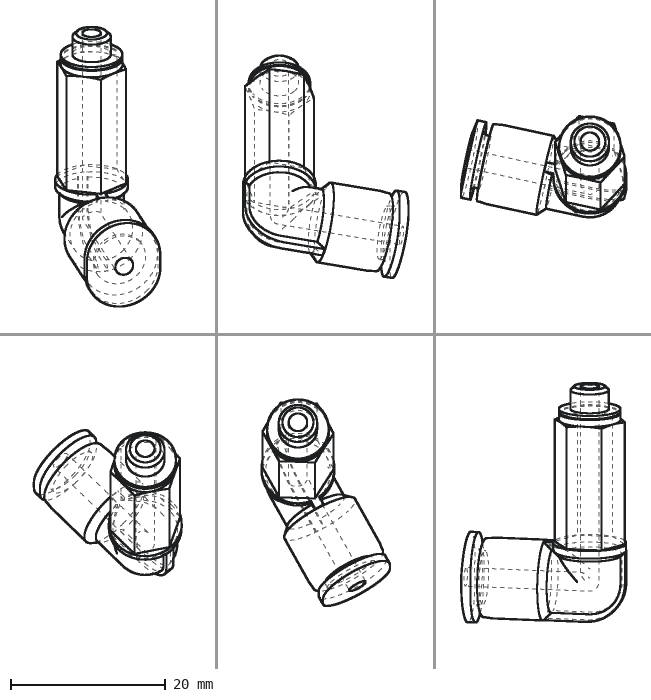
import cadquery as cq
import math


thread_top = 26.0
thread_bottom = 23.0
washer_bottom = 21.55
collar_top = 5.2
collar_bottom = 4.2

thread_diameter = 5.0
thread_chamfer = 0.5
washer_diameter = 8.0
upper_washer_thickness = 0.45
washer_gap = 0.1
washer_gap_diameter = 7.8
hex_across_flats = 8.0
hex_chamfer_angle = 15.0
collar_radius = 4.73

elbow_radius = 4.2
rib_thickness = 1.25
rib_bottom_depth = 5.2
bore_diameter = 2.4

shoulder_start = 4.9
body_end = 12.6
rim_taper_end = 13.45
rim_end = 13.91
button_back = 14.8
button_front = 16.29
body_radius = 10.5 / 2
rim_radius = 10.3 / 2
rim_fillet = 0.25
neck_radius = 7.0 / 2
neck_fillet = 0.4
shoulder_length = body_radius - elbow_radius

button_half_height = 5.9
button_half_width = 4.93
button_flat_radius = 3.45
button_bevel_depth = 0.46


def stem_cylinder(radius, bottom, top):
    """Cylinder on the Z axis."""
    return cq.Workplane("XY").workplane(offset=bottom).circle(radius).extrude(top - bottom)


def make_thread_and_washers():
    thread = stem_cylinder(thread_diameter / 2, washer_bottom, thread_top)
    thread = thread.faces(">Z").chamfer(thread_chamfer)
    washer_radius = washer_diameter / 2
    gap_top = thread_bottom - upper_washer_thickness
    gap_bottom = gap_top - washer_gap
    upper_washer = stem_cylinder(washer_radius, gap_top, thread_bottom)
    spacer = stem_cylinder(washer_gap_diameter / 2, gap_bottom, gap_top)
    lower_washer = stem_cylinder(washer_radius, washer_bottom, gap_bottom)
    return thread.union(upper_washer).union(spacer).union(lower_washer)


def make_hex():
    """Hexagon with corners on the X axis and its top corners bevelled."""
    corner_radius = hex_across_flats / 2 / math.cos(math.radians(30))
    flat_radius = hex_across_flats / 2
    bevel_drop = (corner_radius - flat_radius) * math.tan(math.radians(hex_chamfer_angle))
    prism = (
        cq.Workplane("XY")
        .workplane(offset=collar_top)
        .polygon(6, 2 * corner_radius)
        .extrude(washer_bottom - collar_top)
    )
    envelope = (
        cq.Workplane("XZ")
        .moveTo(0, collar_top)
        .lineTo(corner_radius, collar_top)
        .lineTo(corner_radius, washer_bottom - bevel_drop)
        .lineTo(flat_radius, washer_bottom)
        .lineTo(0, washer_bottom)
        .close()
        .revolve(360, (0, 0, 0), (0, 1, 0))
    )
    return prism.intersect(envelope)


def make_collar_and_elbow():
    """Collar tapering to the vertical leg, with a ball at the bend."""
    taper_bottom = collar_bottom - (collar_radius - elbow_radius)
    leg = (
        cq.Workplane("XZ")
        .moveTo(0, 0)
        .lineTo(elbow_radius, 0)
        .lineTo(elbow_radius, taper_bottom)
        .lineTo(collar_radius, collar_bottom)
        .lineTo(collar_radius, collar_top)
        .lineTo(0, collar_top)
        .close()
        .revolve(360, (0, 0, 0), (0, 1, 0))
    )
    return leg.union(cq.Workplane("XY").sphere(elbow_radius))


def make_rib():
    """Central web following the outside of the bend and filling its inner corner."""
    bend_radius = rib_bottom_depth
    bend_center_x = bend_radius - collar_radius
    bend_mid = bend_radius * math.sqrt(0.5)
    rib_end = shoulder_start + shoulder_length
    return (
        cq.Workplane("XZ")
        .moveTo(-collar_radius, collar_bottom)
        .lineTo(-collar_radius, 0)
        .threePointArc((bend_center_x - bend_mid, -bend_mid), (bend_center_x, -rib_bottom_depth))
        .lineTo(rib_end, -rib_bottom_depth)
        .lineTo(rib_end, collar_top)
        .lineTo(0, collar_top)
        .lineTo(0, collar_bottom)
        .close()
        .extrude(rib_thickness / 2, both=True)
    )


def make_socket_body():
    """Horizontal leg, shoulder, body, tapered rim and neck turned about the X axis."""
    rim_mid = rim_fillet * (1 - math.sqrt(0.5))
    neck_mid = neck_fillet * (1 - math.sqrt(0.5))
    return (
        cq.Workplane("XZ")
        .moveTo(0, 0)
        .lineTo(0, elbow_radius)
        .lineTo(shoulder_start, elbow_radius)
        .lineTo(shoulder_start + shoulder_length, body_radius)
        .lineTo(body_end, body_radius)
        .lineTo(rim_taper_end, rim_radius)
        .lineTo(rim_end - rim_fillet, rim_radius)
        .threePointArc((rim_end - rim_mid, rim_radius - rim_mid), (rim_end, rim_radius - rim_fillet))
        .lineTo(rim_end, neck_radius)
        .lineTo(button_back - neck_fillet, neck_radius)
        .threePointArc(
            (button_back - neck_mid, neck_radius + neck_mid),
            (button_back, neck_radius + neck_fillet),
        )
        .lineTo(button_back, 0)
        .close()
        .revolve(360, (0, 0, 0), (1, 0, 0))
    )


def make_release_button():
    """Oval plate, tall along Z, trimmed by a flat-nosed cone at the front."""
    oval = (
        cq.Workplane("YZ")
        .workplane(offset=button_back)
        .slot2D(2 * button_half_height, 2 * button_half_width, 90)
        .extrude(button_front - button_back)
    )
    envelope = (
        cq.Workplane("XZ")
        .moveTo(button_back, 0)
        .lineTo(button_back, button_half_height)
        .lineTo(button_front - button_bevel_depth, button_half_height)
        .lineTo(button_front, button_flat_radius)
        .lineTo(button_front, 0)
        .close()
        .revolve(360, (0, 0, 0), (1, 0, 0))
    )
    return oval.intersect(envelope)


def make_bore():
    """Flow passage down the stem, round the bend and out through the button."""
    bore_radius = bore_diameter / 2
    down = stem_cylinder(bore_radius, 0, thread_top)
    along = cq.Workplane("YZ").circle(bore_radius).extrude(button_front)
    return down.union(along).union(cq.Workplane("XY").sphere(bore_radius))


fitting = make_collar_and_elbow()
fitting = fitting.union(make_socket_body())
fitting = fitting.union(make_rib())
fitting = fitting.union(make_hex())
fitting = fitting.union(make_thread_and_washers())
fitting = fitting.union(make_release_button())
result = fitting.cut(make_bore())